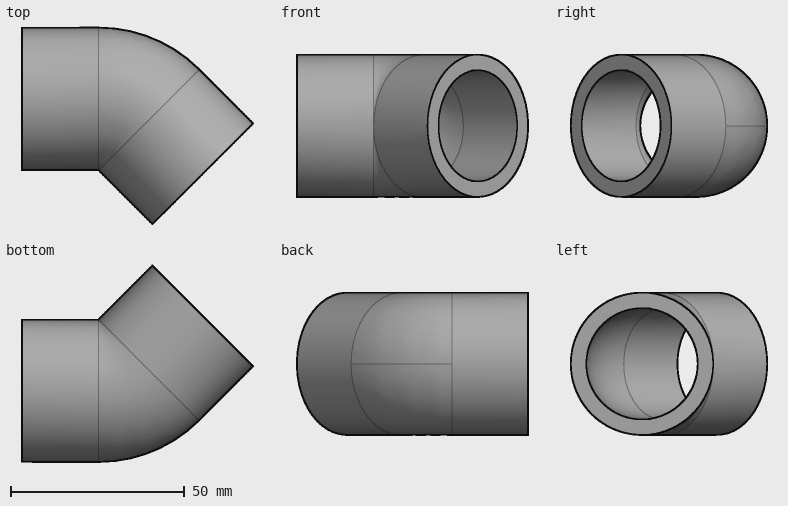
import cadquery as cq
import math

overall_length = 66.55
outer_diameter = 41.0
bore_diameter = 32.0
bend_angle = 45.0

bend_radius = outer_diameter / 2
turn = math.radians(bend_angle)

leg_length = (overall_length - outer_diameter * math.sin(turn)) / (1 + math.cos(turn))


def pipe_section(diameter):
    """Round section at the start of the bend, split into two arcs at its innermost point."""
    radius = diameter / 2
    inner_point = (bend_radius - radius, 0)
    outer_point = (bend_radius + radius, 0)
    return (
        cq.Workplane("YZ")
        .moveTo(*inner_point)
        .threePointArc((bend_radius, radius), outer_point)
        .threePointArc((bend_radius, -radius), inner_point)
        .close()
    )


def elbow(diameter):
    """Solid elbow of one diameter: inlet leg, bend and outlet leg."""
    inlet_leg = pipe_section(diameter).extrude(-leg_length)
    bend = pipe_section(diameter).revolve(bend_angle, (0, 0), (0, -1))
    outlet_leg = pipe_section(diameter).extrude(leg_length)
    outlet_leg = outlet_leg.rotate((0, 0, 0), (0, 0, 1), -bend_angle)
    return inlet_leg.union(bend).union(outlet_leg)


pipe_body = elbow(outer_diameter)
bore = elbow(bore_diameter)
result = pipe_body.cut(bore)